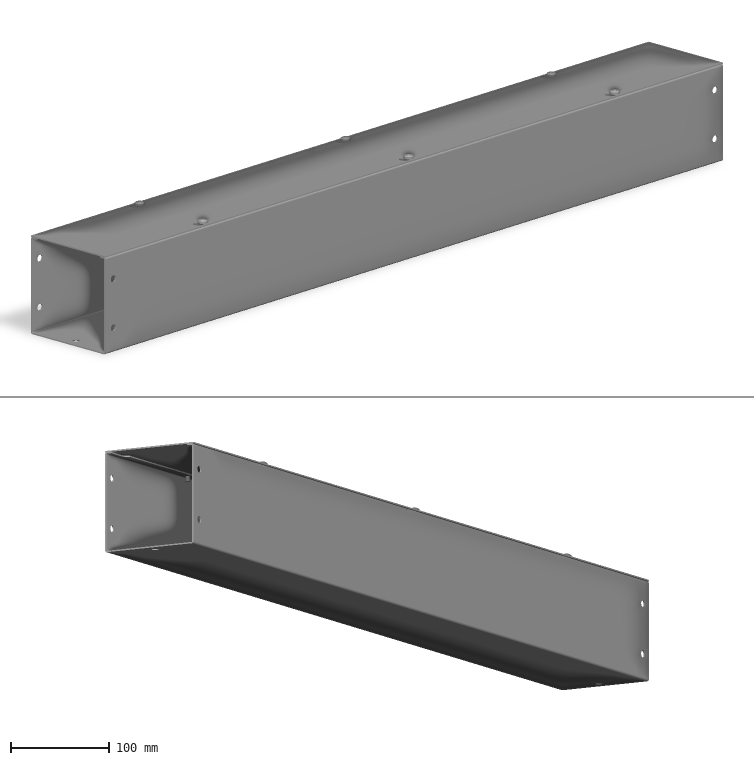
import cadquery as cq

LENGTH = 914.0
WIDTH = 104.0
SHEET = 1.5
CHANNEL_HEIGHT = 103.0
BEND_RADIUS = 2.2
FLANGE_WIDTH = 13.0

RELIEF_DEPTH = 5.5
RELIEF_LENGTH = 23.0

HOLE_DIAMETER = 7.0
HOLE_END_INSET = 12.0
HOLE_SPACING = 52.0
HOLE_CENTRE_HEIGHT = 52.0

SCREWS_PER_SIDE = 3
SCREW_PITCH = LENGTH / SCREWS_PER_SIDE
SCREW_ROW_SPACING = 89.0
SHANK_DIAMETER = 5.0
SHANK_LENGTH = 8.0
HEAD_DIAMETER = 10.0
TOTAL_HEIGHT = 109.0
HEAD_HEIGHT = TOTAL_HEIGHT - CHANNEL_HEIGHT - SHEET
HEAD_RIM = 2.3
RECESS_LENGTH = 6.0
RECESS_WIDTH = 1.4
RECESS_DEPTH = 2.0

KEYHOLE_DIAMETER = 11.0
KEYHOLE_OFFSET = 6.0

END_Y = LENGTH / 2
LID_BOTTOM = CHANNEL_HEIGHT
LID_TOP = LID_BOTTOM + SHEET

screw_places = [
    (side * SCREW_ROW_SPACING / 2, (number - (SCREWS_PER_SIDE - 1) / 2) * SCREW_PITCH)
    for side in (-1, 1)
    for number in range(SCREWS_PER_SIDE)
]


def plane_at(height):
    """A horizontal work plane at the given height."""
    return cq.Workplane("XY", origin=(0, 0, height))


def rounded_bar(width, height, bottom, radius):
    """A bar over the full length, its four long edges rounded."""
    bar = plane_at(bottom).box(width, LENGTH, height, centered=(True, True, False))
    return bar.edges("|Y").fillet(radius)


def flange_opening():
    """The gap between the flanges, wider at both ends where the flanges are relieved."""
    half_gap = WIDTH / 2 - FLANGE_WIDTH
    half_end = half_gap + RELIEF_DEPTH
    step_y = END_Y - RELIEF_LENGTH
    shoulder_y = step_y - RELIEF_DEPTH
    quarter = [(half_gap, shoulder_y), (half_end, step_y), (half_end, END_Y)]
    right_side = [(x, -y) for x, y in reversed(quarter)] + quarter
    left_side = [(-x, -y) for x, y in right_side]
    return plane_at(CHANNEL_HEIGHT - SHEET).polyline(right_side + left_side).close().extrude(SHEET)


def mounting_holes():
    """Cutters for the holes through both walls and the floor."""
    hole_ys = [end * (END_Y - HOLE_END_INSET) for end in (-1, 1)]
    wall_places = [
        (y, HOLE_CENTRE_HEIGHT + level * HOLE_SPACING / 2) for y in hole_ys for level in (-1, 1)
    ]
    radius = HOLE_DIAMETER / 2
    through_walls = cq.Workplane("YZ").pushPoints(wall_places).circle(radius).extrude(WIDTH, both=True)
    through_floor = plane_at(0).pushPoints([(0, y) for y in hole_ys]).circle(radius).extrude(SHEET)
    return through_walls.add(through_floor).combine()


def make_channel():
    outside = rounded_bar(WIDTH, CHANNEL_HEIGHT, 0, BEND_RADIUS)
    inside = rounded_bar(WIDTH - 2 * SHEET, CHANNEL_HEIGHT - 2 * SHEET, SHEET, BEND_RADIUS - SHEET)
    screw_holes = (
        plane_at(CHANNEL_HEIGHT - SHEET)
        .pushPoints(screw_places)
        .circle(SHANK_DIAMETER / 2)
        .extrude(SHEET)
    )
    return outside.cut(inside).cut(flange_opening()).cut(mounting_holes()).cut(screw_holes)


def keyhole(x, y):
    """Cutter for one keyhole whose narrow end is centred on (x, y)."""
    base = plane_at(LID_BOTTOM).center(x, y)
    seat = base.circle(SHANK_DIAMETER / 2).extrude(SHEET)
    neck = base.center(0, -KEYHOLE_OFFSET / 2).rect(SHANK_DIAMETER, KEYHOLE_OFFSET).extrude(SHEET)
    round_end = base.center(0, -KEYHOLE_OFFSET).circle(KEYHOLE_DIAMETER / 2).extrude(SHEET)
    return seat.union(neck).union(round_end)


def make_lid():
    lid = plane_at(LID_BOTTOM).rect(WIDTH, LENGTH).extrude(SHEET)
    for x, y in screw_places:
        lid = lid.cut(keyhole(x, y))
    return lid


def dome_radius():
    """Radius of the sphere that meets the top of the rim and the top of the head."""
    rise = HEAD_HEIGHT - HEAD_RIM
    return ((HEAD_DIAMETER / 2) ** 2 + rise**2) / (2 * rise)


def make_screw(x, y):
    radius = dome_radius()
    head_top = LID_TOP + HEAD_HEIGHT
    dome = cq.Workplane("XY").sphere(radius).translate((0, 0, head_top - radius))
    head = plane_at(LID_TOP).circle(HEAD_DIAMETER / 2).extrude(HEAD_HEIGHT).intersect(dome)
    for size in ((RECESS_LENGTH, RECESS_WIDTH), (RECESS_WIDTH, RECESS_LENGTH)):
        head = head.cut(plane_at(head_top).rect(*size).extrude(-RECESS_DEPTH))
    shank = plane_at(LID_TOP).circle(SHANK_DIAMETER / 2).extrude(-SHANK_LENGTH)
    return head.union(shank).translate((x, y, 0))


channel = make_channel()
lid = make_lid()
screws = [make_screw(x, y) for x, y in screw_places]

result = cq.Compound.makeCompound([channel.val(), lid.val(), *[screw.val() for screw in screws]])